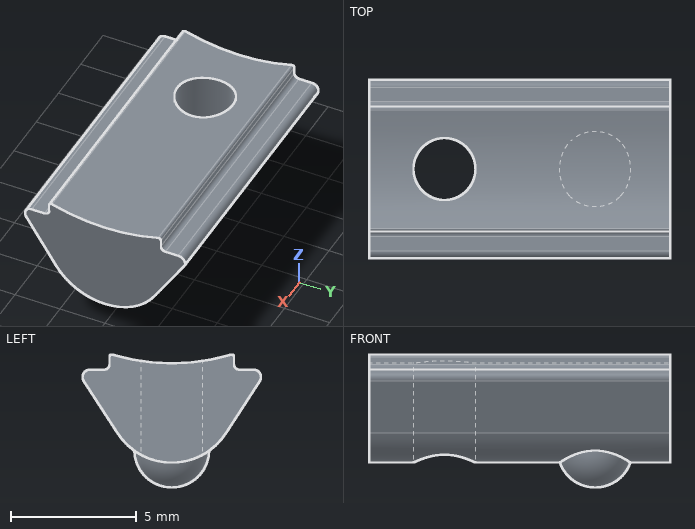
import cadquery as cq
import math

length = 12.0
width = 7.12
ball_radius = 1.5
body_bottom = 1.0
shoulder_height = 4.7
neck_width = 4.97
neck_corner_height = 5.34
groove_bottom = 4.95
flank_angle = math.radians(57)
lip_radius = 0.3
neck_root_radius = 0.2
neck_tip_radius = 0.1
hole_diameter = 2.46
hole_x = length / 4
ball_x = length * 3 / 4

lip_setback = lip_radius / math.tan(flank_angle / 2)
corner_y = width / 2 - lip_radius + lip_setback

flank_drop = corner_y * math.tan(flank_angle) - (shoulder_height - body_bottom)
keel_radius = flank_drop / (1 / math.cos(flank_angle) - 1)
tangent_y = keel_radius * math.sin(flank_angle)
tangent_z = body_bottom + keel_radius * (1 - math.cos(flank_angle))
neck_y = neck_width / 2


def round_edges(body, y, z, radius):
    """Round the two mirrored lengthwise edges at +y and -y."""
    for side in (-1, 1):
        edge = cq.selectors.NearestToPointSelector((length / 2, side * y, z))
        body = body.edges("|X").edges(edge).fillet(radius)
    return body


def make_body():
    body = (
        cq.Workplane("YZ")
        .moveTo(-tangent_y, tangent_z)
        .threePointArc((0, body_bottom), (tangent_y, tangent_z))
        .lineTo(corner_y, shoulder_height)
        .lineTo(neck_y, shoulder_height)
        .lineTo(neck_y, neck_corner_height)
        .threePointArc((0, groove_bottom), (-neck_y, neck_corner_height))
        .lineTo(-neck_y, shoulder_height)
        .lineTo(-corner_y, shoulder_height)
        .close()
        .extrude(length)
    )
    body = round_edges(body, corner_y, shoulder_height, lip_radius)
    body = round_edges(body, neck_y, shoulder_height, neck_root_radius)
    return round_edges(body, neck_y, neck_corner_height, neck_tip_radius)


hole = (
    cq.Workplane("XY")
    .center(hole_x, 0)
    .circle(hole_diameter / 2)
    .extrude(neck_corner_height)
)
ball = cq.Workplane("XY").sphere(ball_radius).translate((ball_x, 0, ball_radius))

result = make_body().cut(hole).union(ball)